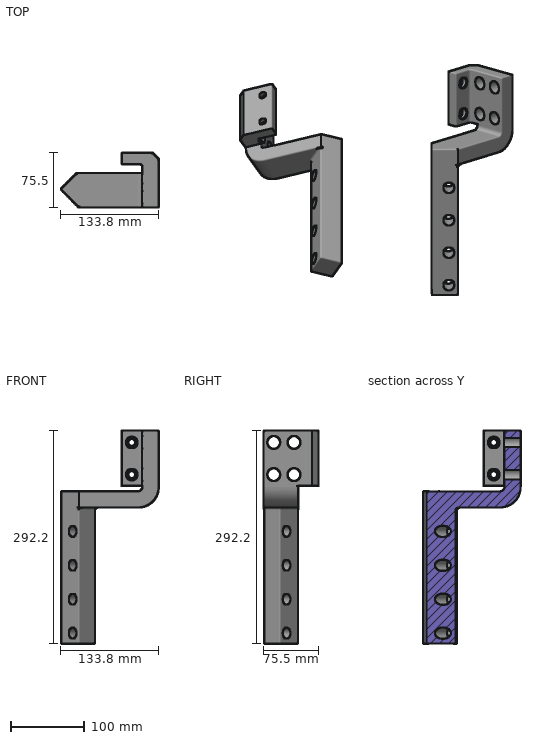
import cadquery as cq
import math

length = 133.8
width = 75.5
height = 292.2

edge_radius = 2.0

tolerance = 0.3
hole_run_in = 3.0

plate_thickness = 22.8
arm_width = 47.5
arm_top = 209.2
arm_bottom = arm_top - plate_thickness
upright_front = length - plate_thickness
bend_inner_radius = 5.5
bend_outer_radius = bend_inner_radius + plate_thickness

flange_front = 82.7
flange_thickness = 16.0
flange_inner_face = width - flange_thickness
flange_bottom = 216.2
flange_inner_radius = 3.5
back_corner_chamfer = 8.8

front_face_width = 36.0
side_face_width = 32.0
nose_rounding_loss = edge_radius * (math.sqrt(2) - 1)
nose_x = -nose_rounding_loss
nose_y = 25.5
leg_root_radius = 3.2
foot_radius = 1.8

hole_rows_z = [231.7, 275.8]
upright_hole_diameter = 17.2
upright_holes_y = [14.0, 41.8]
flange_hole_diameter = 9.5
flange_counterbore_diameter = 14.0
counterbore_rim_chamfer = 1.0
counterbore_depth = 8.0
flange_hole_x = 96.7
leg_hole_diameter = 15.0
leg_hole_from_nose = 23.5
leg_hole_first_z = 14.5
leg_hole_pitch = 46.5
leg_hole_count = 4


def box_between(corner, opposite):
    sizes = [b - a for a, b in zip(corner, opposite)]
    return cq.Workplane("XY").box(*sizes, centered=False).translate(corner)


def leg_section_point(along_front, along_side):
    """Point of the leg section, measured along its two face directions from the nose."""
    diagonal = math.sqrt(0.5)
    return (
        nose_x + (along_front + along_side) * diagonal,
        nose_y + (along_side - along_front) * diagonal,
    )


def make_cranked_plate():
    """Arm and upright joined by a round bend, as wide as the whole part."""
    outline = (
        cq.Workplane("XZ")
        .moveTo(nose_x, arm_bottom)
        .lineTo(length - bend_outer_radius, arm_bottom)
        .radiusArc((length, arm_bottom + bend_outer_radius), -bend_outer_radius)
        .lineTo(length, height)
        .lineTo(upright_front, height)
        .lineTo(upright_front, arm_top + bend_inner_radius)
        .radiusArc((upright_front - bend_inner_radius, arm_top), bend_inner_radius)
        .lineTo(nose_x, arm_top)
        .close()
    )
    plate = outline.extrude(-width)
    beside_arm = box_between((nose_x, arm_width, 0), (length, width, flange_bottom))
    return plate.cut(beside_arm)


def make_nose_limit():
    """Prism with a rounded point that trims the arm end to the two leading faces of the leg."""
    reach = 2 * length
    plan = [leg_section_point(0, 0), leg_section_point(reach, 0), leg_section_point(0, reach)]
    limit = cq.Workplane("XY").polyline(plan).close().extrude(height)
    return limit.edges("|Z and <X").fillet(edge_radius)


def edges_near(solid, corner, opposite):
    """Edges whose midpoints lie in the given box, widened a little on every side."""
    low = [value - tolerance for value in corner]
    high = [value + tolerance for value in opposite]
    return solid.edges(cq.selectors.BoxSelector(low, high))


def add_flange(plate):
    """Flange along the +Y edge of the upright, with its inner bend and cut-off back corner."""
    flange = box_between((flange_front, flange_inner_face, flange_bottom), (length, width, height))
    hook = plate.union(flange).clean()
    flange_middle_z = (flange_bottom + height) / 2
    back_corner = (length, width, flange_middle_z)
    hook = edges_near(hook, back_corner, back_corner).chamfer(back_corner_chamfer)
    inner_corner = (upright_front, flange_inner_face, flange_middle_z)
    return edges_near(hook, inner_corner, inner_corner).fillet(flange_inner_radius)


def round_hook_edges(hook):
    """Round the long edges; the flange underside and the arm end corners stay sharp."""
    flange_middle_z = (flange_bottom + height) / 2
    front_side = hook.faces("<Y").edges("not(|Z and <X)")
    top = hook.faces(">Z").edges()
    flange_end = edges_near(
        hook, (flange_front, flange_inner_face, flange_middle_z), (flange_front, width, flange_middle_z)
    )
    nose_top = edges_near(hook, (nose_x, 0, arm_top), (arm_width / 2, arm_width, arm_top))
    arm_back_side = edges_near(
        hook, (arm_width, arm_width, arm_bottom), (length, arm_width, arm_top + bend_inner_radius)
    )
    chosen = front_side.add(top).add(flange_end).add(nose_top).add(arm_back_side)
    return hook.newObject(chosen.vals()).fillet(edge_radius)


def make_leg():
    """Leg with rounded edges that flares into the arm underside, no wider than the arm."""
    corners = [
        leg_section_point(0, 0),
        leg_section_point(front_face_width, 0),
        leg_section_point(front_face_width, side_face_width),
        leg_section_point(0, side_face_width),
    ]
    leg = cq.Workplane("XY").polyline(corners).close().extrude(arm_bottom)
    leg = leg.edges("|Z").fillet(edge_radius)
    leg = leg.faces("<Z").edges().fillet(foot_radius)

    slab = box_between((-length, -length, arm_bottom), (length, length, arm_top))
    flared = leg.union(slab)
    root = edges_near(flared, (0, 0, arm_bottom), (length / 2, width, arm_bottom))
    flared = root.fillet(leg_root_radius)
    arm_strip = box_between((nose_x, 0, 0), (length, arm_width, arm_bottom))
    below_arm = flared.intersect(arm_strip)
    return below_arm.intersect(make_nose_limit())


def make_hole(point, direction, diameter, depth):
    return cq.Workplane(
        cq.Solid.makeCylinder(diameter / 2, depth, cq.Vector(*point), cq.Vector(*direction))
    )


def cut_upright_holes(body):
    """Grid of through holes along X."""
    for y in upright_holes_y:
        for z in hole_rows_z:
            start = (upright_front - hole_run_in, y, z)
            body = body.cut(make_hole(start, (1, 0, 0), upright_hole_diameter, length))
    return body


def cut_flange_holes(body):
    """Through holes along Y, counterbored from the inner face of the flange, with a broken rim."""
    bore_radius = flange_counterbore_diameter / 2
    for z in hole_rows_z:
        start = (flange_hole_x, flange_inner_face, z)
        body = body.cut(make_hole(start, (0, 1, 0), flange_counterbore_diameter, counterbore_depth))
        rim = cq.Solid.makeCone(
            bore_radius + counterbore_rim_chamfer,
            bore_radius,
            counterbore_rim_chamfer,
            cq.Vector(*start),
            cq.Vector(0, 1, 0),
        )
        body = body.cut(cq.Workplane(rim))
        body = body.cut(make_hole(start, (0, 1, 0), flange_hole_diameter, flange_thickness))
    return body


def cut_leg_holes(body):
    """Row of holes straight through the leg, square to its front face."""
    x, y = leg_section_point(leg_hole_from_nose, -hole_run_in)
    depth = side_face_width + 2 * hole_run_in
    for index in range(leg_hole_count):
        z = leg_hole_first_z + index * leg_hole_pitch
        body = body.cut(make_hole((x, y, z), (1, 1, 0), leg_hole_diameter, depth))
    return body


hook = make_cranked_plate().intersect(make_nose_limit())
hook = round_hook_edges(add_flange(hook))
body = hook.union(make_leg())
result = cut_leg_holes(cut_flange_holes(cut_upright_holes(body)))